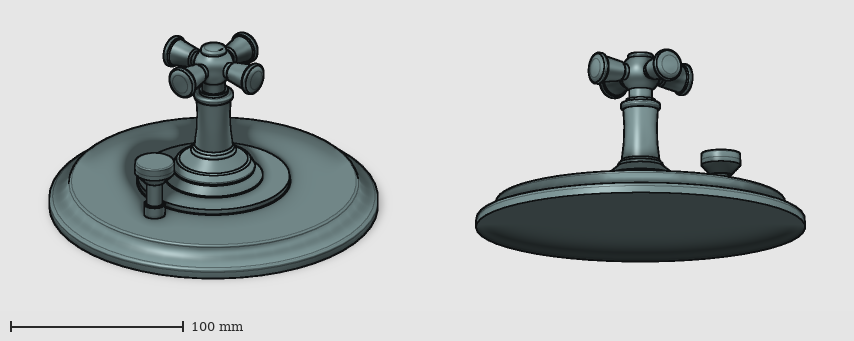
import cadquery as cq

plate_radius = 95.2
plate_rim_height = 4.2
plate_rim_mid = (94.7, 5.7)
cove_foot_radius = 93.3
cove_foot_z = 6.3
cove_mid = (87.5, 9.0)
cove_top_radius = 83.8
plate_top = 15.8
plate_edge_rounding = 1.3

seat_radius = 44.5
seat_top = 16.2
dial_radius = 44.0
dial_top = 19.0

flare_foot_radius = 28.5
flare_foot_top = 20.0
flare_band_radius = 23.6
flare_band_bulge = 0.4
flare_band_bottom = 24.2
flare_band_top = 26.5
flare_shoulder_radius = 21.5
flare_shoulder_top = 30.0
flare_cone_radius = 19.8
flare_cone_bottom = 30.5
flare_neck_radius = 13.1
flare_neck_z = 36.0

bead_mid = (13.0, 37.1)
bead_lip_radius = 12.0
bead_lip_z = 38.1
bead_top = 39.6

column_foot_radius = 11.0
column_waist_radius = 9.5
column_waist_z = 57.2
column_top_radius = 10.1
column_top = 69.5

ring_radius = 11.5
ring_top = 73.5
ring_rounding = 1.5
step_radius = 8.4
step_top = 75.2
stem_radius = 6.7

ball_radius = 11.6
ball_z = 90.7
cap_radius = 7.5
cap_side_top = 100.8
cap_round_mid = (7.0, 101.7)
cap_dome_z = 102.3
cap_top = 103.0
button_radius = 5.5
arm_neck_radius = 4.5
arm_neck_end = 13.1
arm_cone_start = 14.3
arm_small_radius = 5.7
arm_cone_end = 26.7
arm_large_radius = 7.8
flange_start = 27.6
flange_end = 30.3
flange_radius = 9.1
flange_rounding = 0.8
end_round_mid = (31.0, 7.0)
end_dome_x = 31.5
arm_length = 32.0
arm_count = 4

knob_y = -55.0
socket_radius = 6.1
socket_top = 23.0
socket_chamfer = 0.5
rod_radius = 4.5
rod_top = 37.3
knob_foot_radius = 6.1
knob_radius = 11.5
knob_cone_top = 43.0
knob_band_top = 46.0
knob_face_radius = 11.2
knob_top = 50.1
knob_rounding = 0.8


def disc(radius, bottom, top):
    """Upright cylinder on the main axis."""
    return cq.Workplane("XY").workplane(offset=bottom).circle(radius).extrude(top - bottom)


def turned(outline):
    """Revolve a closed XZ outline about the Z axis."""
    return outline.close().revolve(360, (0, 0, 0), (0, 1, 0))


def wall_plate():
    """Round plate with a rounded rim and a concave border."""
    cove_top_z = plate_top - plate_edge_rounding
    return turned(
        cq.Workplane("XZ")
        .lineTo(plate_radius, 0)
        .lineTo(plate_radius, plate_rim_height)
        .threePointArc(plate_rim_mid, (cove_foot_radius, cove_foot_z))
        .threePointArc(cove_mid, (cove_top_radius, cove_top_z))
        .radiusArc((cove_top_radius - plate_edge_rounding, plate_top), -plate_edge_rounding)
        .lineTo(0, plate_top)
    )


def column():
    """Stepped flare, bead and waisted column, turned as one piece."""
    band_ridge = (flare_band_radius + flare_band_bulge, (flare_band_bottom + flare_band_top) / 2)
    return turned(
        cq.Workplane("XZ")
        .moveTo(0, plate_top)
        .lineTo(flare_foot_radius, plate_top)
        .lineTo(flare_foot_radius, flare_foot_top)
        .lineTo(flare_band_radius, flare_band_bottom)
        .lineTo(*band_ridge)
        .lineTo(flare_band_radius, flare_band_top)
        .lineTo(flare_shoulder_radius, flare_shoulder_top)
        .lineTo(flare_cone_radius, flare_cone_bottom)
        .lineTo(flare_neck_radius, flare_neck_z)
        .threePointArc(bead_mid, (bead_lip_radius, bead_lip_z))
        .lineTo(column_foot_radius, bead_top)
        .threePointArc((column_waist_radius, column_waist_z), (column_top_radius, column_top))
        .lineTo(0, column_top)
    )


def column_head():
    """Rounded ring, step and stem reaching into the ball."""
    ring = disc(ring_radius, column_top, ring_top).edges().fillet(ring_rounding)
    return ring.union(disc(step_radius, column_top, step_top)).union(disc(stem_radius, column_top, ball_z))


def dome_sphere_radius(height):
    """Radius of the sphere that raises the round button by the given height."""
    return (button_radius**2 + height**2) / (2 * height)


def handle_hub():
    """Ball with a rounded cap on top."""
    ball = cq.Workplane("XY").sphere(ball_radius).translate((0, 0, ball_z))
    cap = turned(
        cq.Workplane("XZ")
        .moveTo(0, ball_z)
        .lineTo(cap_radius, ball_z)
        .lineTo(cap_radius, cap_side_top)
        .threePointArc(cap_round_mid, (button_radius, cap_dome_z))
        .radiusArc((0, cap_top), -dome_sphere_radius(cap_top - cap_dome_z))
    )
    return ball.union(cap)


def handle_arm():
    """One tapered arm along +X with a rounded flange and a domed end."""
    flange_edge = flange_radius - flange_rounding
    arm = (
        cq.Workplane("XY")
        .lineTo(0, arm_neck_radius)
        .lineTo(arm_neck_end, arm_neck_radius)
        .lineTo(arm_cone_start, arm_small_radius)
        .lineTo(arm_cone_end, arm_large_radius)
        .lineTo(flange_start, flange_edge)
        .radiusArc((flange_start + flange_rounding, flange_radius), flange_rounding)
        .lineTo(flange_end - flange_rounding, flange_radius)
        .radiusArc((flange_end, flange_edge), flange_rounding)
        .threePointArc(end_round_mid, (end_dome_x, button_radius))
        .radiusArc((arm_length, 0), dome_sphere_radius(arm_length - end_dome_x))
        .close()
        .revolve(360, (0, 0, 0), (1, 0, 0))
    )
    return arm.translate((0, 0, ball_z))


def diverter_knob():
    """Round push knob on a rod that rises from a short socket."""
    socket = disc(socket_radius, 0, socket_top).faces(">Z").edges().chamfer(socket_chamfer)
    rod = disc(rod_radius, 0, rod_top)
    head = turned(
        cq.Workplane("XZ")
        .moveTo(0, rod_top)
        .lineTo(knob_foot_radius, rod_top)
        .lineTo(knob_radius, knob_cone_top)
        .lineTo(knob_radius, knob_band_top)
        .lineTo(knob_face_radius, knob_top)
        .lineTo(0, knob_top)
    )
    head = head.faces(">Z").edges().fillet(knob_rounding)
    return socket.union(rod).union(head).translate((0, knob_y, 0))


result = wall_plate().union(disc(seat_radius, 0, seat_top)).union(disc(dial_radius, 0, dial_top))
result = result.union(column()).union(column_head())
result = result.union(handle_hub())
for index in range(arm_count):
    result = result.union(handle_arm().rotate((0, 0, 0), (0, 0, 1), index * 360 / arm_count))
result = result.union(diverter_knob())